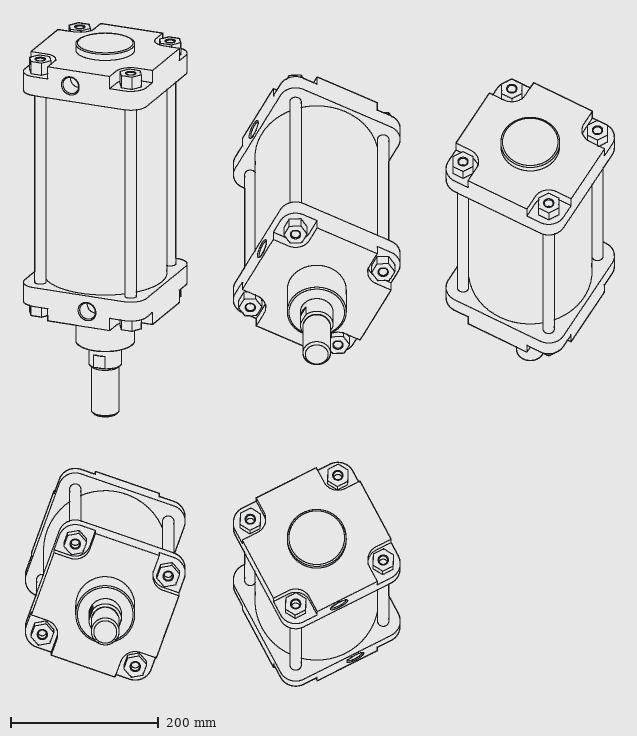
import cadquery as cq
import math


total_length = 537.0
thread_length = 72.0
shank_length = 31.0
boss_length = 55.0
cap_thickness = 45.0
collar_height = 10.0

cap_width = 180.0
cap_corner_radius = 23.0
boss_diameter = 80.0
boss_chamfer_height = 1.35
boss_chamfer_width = 2.3
port_diameter = 23.0
port_chamfer = 1.5
port_depth = 27.0
port_offset = 12.5
nut_pocket_radius = 21.0
nut_height = 17.5

barrel_diameter = 167.5

shank_diameter = 44.5
wrench_flat_width = 41.5
wrench_flat_length = 18.0
thread_diameter = 37.5
thread_chamfer = 3.0
neck_diameter = 35.0
neck_length = 1.0
thread_lead_in = 2.0

tie_rod_diameter = 15.5
nut_across_flats = 27.5
socket_diameter = 12.0
socket_chamfer = 1.0

shank_start = thread_length
boss_end = shank_start + shank_length
lower_cap_bottom = boss_end + boss_length
upper_cap_top = total_length - collar_height
lower_cap_top = lower_cap_bottom + cap_thickness
upper_cap_bottom = upper_cap_top - cap_thickness
barrel_length = upper_cap_bottom - lower_cap_top

tie_rod_offset = cap_width / 2 - cap_corner_radius
tie_rod_centres = [(sx * tie_rod_offset, sy * tie_rod_offset) for sx in (-1, 1) for sy in (-1, 1)]


def nut_pocket(x, y):
    """Corner recess for a nut: open to both sides of the cap, rounded about the tie rod centre."""
    reach = cap_corner_radius + nut_pocket_radius
    middle = (cap_width - reach) / 2
    return (
        cq.Workplane("XY")
        .center(math.copysign(middle, x), math.copysign(middle, y))
        .rect(reach, reach)
        .extrude(nut_height)
        .edges("|Z")
        .edges(cq.selectors.NearestToPointSelector((0, 0, nut_height / 2)))
        .fillet(nut_pocket_radius)
    )


def end_cap(boss_height, port_x):
    """Cap with its outer face at Z = 0, its boss pointing to -Z and its inner face on top."""
    cap = cq.Workplane("XY").rect(cap_width, cap_width).extrude(cap_thickness)
    cap = cap.edges("|Z").fillet(cap_corner_radius)
    for x, y in tie_rod_centres:
        cap = cap.cut(nut_pocket(x, y))
    boss = cq.Workplane("XY").circle(boss_diameter / 2).extrude(-boss_height)
    boss = boss.faces("<Z").edges().chamfer(boss_chamfer_height, boss_chamfer_width)
    cap = cap.union(boss)
    rod_holes = cq.Workplane("XY").pushPoints(tie_rod_centres).circle(tie_rod_diameter / 2)
    cap = cap.cut(rod_holes.extrude(cap_thickness))
    return cap.cut(port(port_x))


def port(port_x):
    """Blind port with a countersunk mouth in the -Y face, halfway up the cap."""
    radius = port_diameter / 2
    mouth = radius + port_chamfer
    outline = [(0, 0), (mouth, 0), (radius, port_chamfer), (radius, port_depth), (0, port_depth)]
    bore = cq.Workplane("XY").polyline(outline).close().revolve(360, (0, 0, 0), (0, 1, 0))
    return bore.translate((port_x, -cap_width / 2, cap_thickness / 2))


def piston_rod():
    """Rod end: threaded tip, undercut neck and shank with two wrench flats facing -Y and +Y."""
    shank_radius = shank_diameter / 2
    thread_radius = thread_diameter / 2
    neck_radius = neck_diameter / 2
    neck_start = shank_start - neck_length
    rod = (
        cq.Workplane("XZ")
        .moveTo(0, 0)
        .lineTo(thread_radius - thread_chamfer, 0)
        .lineTo(thread_radius, thread_chamfer)
        .lineTo(thread_radius, neck_start - thread_lead_in)
        .lineTo(neck_radius, neck_start)
        .lineTo(neck_radius, shank_start)
        .lineTo(shank_radius, shank_start)
        .lineTo(shank_radius, boss_end)
        .lineTo(0, boss_end)
        .close()
        .revolve(360, (0, 0, 0), (0, 1, 0))
    )
    flat_depth = (shank_diameter - wrench_flat_width) / 2
    for side in (-1, 1):
        slab = cq.Workplane("XY").box(
            shank_diameter, flat_depth, wrench_flat_length, centered=(True, True, False)
        )
        slab_y = side * (wrench_flat_width + flat_depth) / 2
        rod = rod.cut(slab.translate((0, slab_y, shank_start)))
    return rod


def tie_rod(x, y):
    """Tie rod through both caps with a hexagonal nut and a chamfered socket at each end."""
    nut_corner_diameter = nut_across_flats / math.cos(math.pi / 6)
    length = upper_cap_top - lower_cap_bottom
    rod = cq.Workplane("XY").circle(tie_rod_diameter / 2).extrude(length)
    for nut_bottom in (0, length - nut_height):
        nut = cq.Workplane("XY").polygon(6, nut_corner_diameter).extrude(nut_height)
        rod = rod.union(nut.translate((0, 0, nut_bottom)))
    for socket_bottom in (0, length - nut_height):
        socket = cq.Workplane("XY").circle(socket_diameter / 2).extrude(nut_height)
        rod = rod.cut(socket.translate((0, 0, socket_bottom)))
    rod = rod.faces("<Z or >Z").edges("%CIRCLE").chamfer(socket_chamfer)
    return rod.translate((x, y, lower_cap_bottom))


lower_cap = end_cap(boss_length, port_offset).translate((0, 0, lower_cap_bottom))
upper_cap = end_cap(collar_height, -port_offset).mirror("XY").translate((0, 0, upper_cap_top))
barrel = cq.Workplane("XY", origin=(0, 0, lower_cap_top)).circle(barrel_diameter / 2).extrude(barrel_length)
rod = piston_rod()
tie_rods = [tie_rod(x, y).val() for x, y in tie_rod_centres]

result = cq.Compound.makeCompound([lower_cap.val(), upper_cap.val(), barrel.val(), rod.val(), *tie_rods])